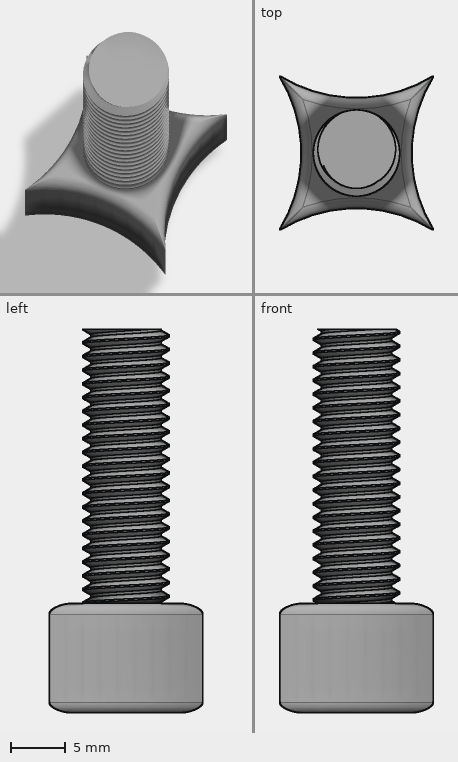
import cadquery as cq
import math

corner_span = 14.2324
waist_span = 10.1
head_height = 10.0
rim_fillet = 1.0
corner_fillet = 0.05

shank_length = 25.0
minor_diameter = 6.45
major_diameter = 7.87
pitch = 1.25
crest_width = pitch / 8
flank_angle = math.radians(30)
root_overlap = 0.1
crest_below_top = 0.3
overrun_turns = 2
end_turns = 2

total_height = head_height + shank_length


def make_head():
    corner = corner_span / 2
    waist = waist_span / 2
    block = (
        cq.Workplane("XY")
        .moveTo(corner, corner)
        .threePointArc((0, waist), (-corner, corner))
        .threePointArc((-waist, 0), (-corner, -corner))
        .threePointArc((0, -waist), (corner, -corner))
        .threePointArc((waist, 0), (corner, corner))
        .close()
        .extrude(head_height)
    )
    rounded_rims = block.faces("|Z").edges().fillet(rim_fillet)
    return rounded_rims.edges("|Z").fillet(corner_fillet)


def make_ridge_stretch(turns, start_height):
    """Helical ridge of a whole number of turns, starting on the +X side."""
    root_radius = minor_diameter / 2 - root_overlap
    crest_radius = major_diameter / 2
    half_crest = crest_width / 2
    half_root = half_crest + (crest_radius - root_radius) * math.tan(flank_angle)
    helix = cq.Wire.makeHelix(pitch, turns * pitch, root_radius)
    return (
        cq.Workplane("XZ")
        .moveTo(root_radius, -half_root)
        .lineTo(crest_radius, -half_crest)
        .lineTo(crest_radius, half_crest)
        .lineTo(root_radius, half_root)
        .close()
        .sweep(cq.Workplane(obj=helix), isFrenet=True)
        .translate((0, 0, start_height))
    )


def make_shank():
    """Core and ridge; the ridge starts inside the head and is cut off flat at the shank end."""
    core = cq.Workplane("XY").circle(minor_diameter / 2).extrude(total_height)
    end_trim = cq.Workplane("XY").circle(major_diameter).extrude(total_height)

    total_turns = math.ceil(shank_length / pitch) + overrun_turns
    start_height = total_height - crest_below_top - (total_turns - 1) * pitch
    shank = core
    for turns in (end_turns, total_turns - 2 * end_turns, end_turns):
        shank = shank.union(make_ridge_stretch(turns, start_height))
        start_height += turns * pitch
    return shank.intersect(end_trim)


result = make_head().union(make_shank()).solids()